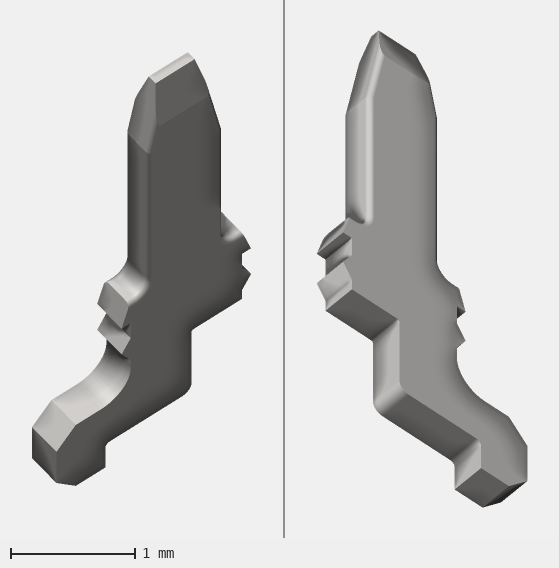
import cadquery as cq
import math

thickness = 0.32
half_thickness = thickness / 2
height = 4.5

blade_half_width = 0.38
left_taper_start_z = 3.52
right_taper_start_z = 3.785
tip_left_y = 0.175
tip_right_y = -0.225
tip_half_thickness = 0.045
tip_bevel_length = 0.41
edge_radius = 0.05

shoulder_z = 1.965
shoulder_half_width = 0.58
shoulder_radius = 0.15
barb_half_width = 0.66
barb_z = 1.71
neck_half_width = 0.565
tooth_z = 1.37
tooth_half_height = 0.145

body_bottom_z = 1.11
stem_left_y = 0.055
stem_bottom_z = 0.31
arm_top_z = 0.81
arm_radius = 0.3
foot_left_y = -0.83
foot_right_y = -1.328
foot_chamfer = 0.2
body_corner_radius = 0.022
stem_corner_radius = 0.1
foot_corner_radius = 0.05

selection_margin = 0.005
DIAGONAL = math.sqrt(0.5)


def shoulder_side(side):
    """Segments from the blade down to the lower root of the tooth; side is +1 for +Y, -1 for -Y."""
    fillet_y = blade_half_width + shoulder_radius
    fillet_z = shoulder_z + shoulder_radius
    fillet_middle = (
        side * (fillet_y - shoulder_radius * DIAGONAL),
        fillet_z - shoulder_radius * DIAGONAL,
    )
    corners = [
        (side * shoulder_half_width, shoulder_z),
        (side * barb_half_width, barb_z),
        (side * neck_half_width, barb_z),
        (side * neck_half_width, tooth_z + tooth_half_height),
        (side * barb_half_width, tooth_z),
        (side * neck_half_width, tooth_z - tooth_half_height),
    ]
    points = [(side * fillet_y, shoulder_z)] + corners
    edges = [
        cq.Edge.makeThreePointArc(
            cq.Vector(0, side * blade_half_width, fillet_z),
            cq.Vector(0, *fillet_middle),
            cq.Vector(0, *points[0]),
        )
    ]
    return edges + straight_edges(points)


def straight_edges(points):
    """Straight edges joining successive (y, z) points."""
    return [
        cq.Edge.makeLine(cq.Vector(0, *start), cq.Vector(0, *end))
        for start, end in zip(points, points[1:])
    ]


def tip_edges():
    """Blade flanks and tapered tip, between the two shoulder fillets."""
    fillet_z = shoulder_z + shoulder_radius
    return straight_edges([
        (blade_half_width, fillet_z),
        (blade_half_width, left_taper_start_z),
        (tip_left_y, height),
        (tip_right_y, height),
        (-blade_half_width, right_taper_start_z),
        (-blade_half_width, fillet_z),
    ])


def leg_edges():
    """Lower outline, from the +Y tooth round the foot to the -Y tooth."""
    tooth_root_z = tooth_z - tooth_half_height
    arc_start = (-neck_half_width - arm_radius, arm_top_z)
    arc_end = (-neck_half_width, arm_top_z + arm_radius)
    arc_middle = (
        -neck_half_width - arm_radius * (1 - DIAGONAL),
        arm_top_z + arm_radius * (1 - DIAGONAL),
    )
    lower = straight_edges([
        (neck_half_width, tooth_root_z),
        (neck_half_width, body_bottom_z),
        (stem_left_y, body_bottom_z),
        (stem_left_y, stem_bottom_z),
        (foot_left_y, stem_bottom_z),
        (foot_left_y, 0),
        (foot_right_y + foot_chamfer, 0),
        (foot_right_y, foot_chamfer),
        (foot_right_y, arm_top_z - foot_chamfer),
        (foot_right_y + foot_chamfer, arm_top_z),
        arc_start,
    ])
    arc = cq.Edge.makeThreePointArc(
        cq.Vector(0, *arc_start), cq.Vector(0, *arc_middle), cq.Vector(0, *arc_end)
    )
    return lower + [arc] + straight_edges([arc_end, (-neck_half_width, tooth_root_z)])


def make_sheet():
    outline = cq.Wire.assembleEdges(
        tip_edges() + shoulder_side(-1) + leg_edges()[::-1] + shoulder_side(1)[::-1]
    )
    sheet = cq.Solid.extrudeLinear(outline, [], cq.Vector(thickness, 0, 0))
    return cq.Workplane(sheet.translate(cq.Vector(-half_thickness, 0, 0)))


def corner_selector(y, z):
    """Selects the through-thickness edge at (y, z)."""
    return cq.selectors.BoxSelector(
        (-thickness, y - selection_margin, z - selection_margin),
        (thickness, y + selection_margin, z + selection_margin),
    )


def round_leg_corners(part):
    corners = [
        (stem_left_y, body_bottom_z, body_corner_radius),
        (stem_left_y, stem_bottom_z, stem_corner_radius),
        (foot_left_y, stem_bottom_z, foot_corner_radius),
    ]
    for y, z, radius in corners:
        part = part.edges("|X").edges(corner_selector(y, z)).fillet(radius)
    return part


def round_blade_edges(part):
    """Round both faces' rims along the blade flanks, shoulder fillets and shoulder tops."""
    below_shoulder = shoulder_z - selection_margin
    below_tip = height - selection_margin
    rim = cq.selectors.BoxSelector(
        (-thickness, -barb_half_width, below_shoulder), (thickness, barb_half_width, below_tip)
    )
    return part.faces("<X or >X").edges(rim).fillet(edge_radius)


def bevel_tip(part):
    """Thin the tip to a chisel by cutting a wedge from each face."""
    wedge = (
        cq.Workplane("XZ")
        .polyline([
            (tip_half_thickness, height),
            (half_thickness, height - tip_bevel_length),
            (half_thickness, height),
        ])
        .close()
        .extrude(blade_half_width, both=True)
    )
    return part.cut(wedge).cut(wedge.mirror("YZ"))


result = bevel_tip(round_blade_edges(round_leg_corners(make_sheet())))